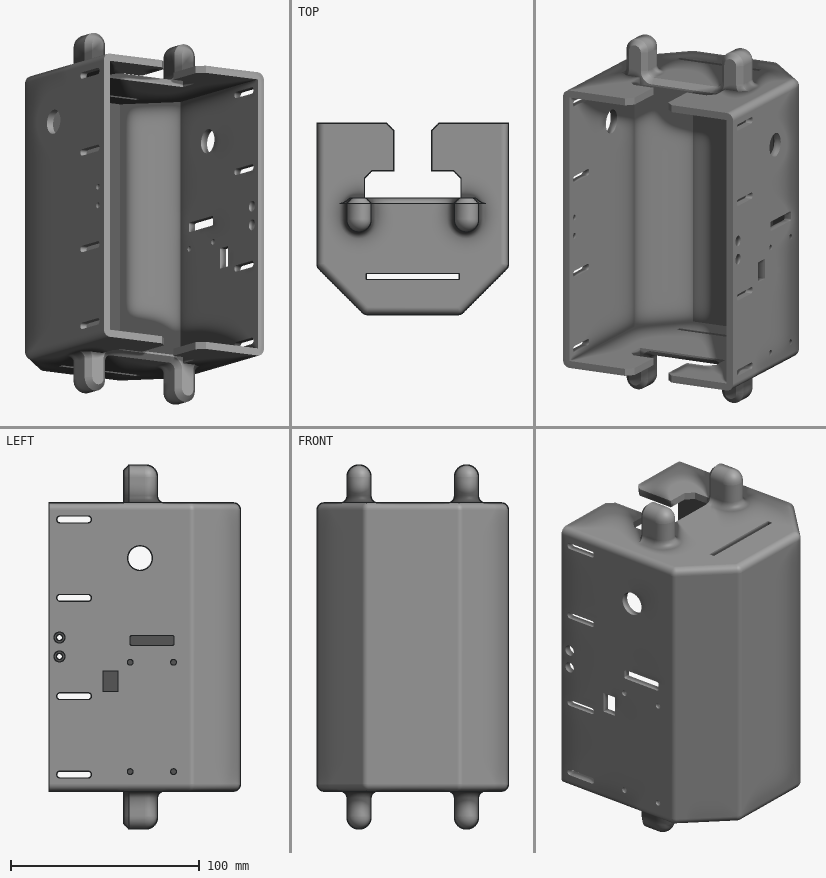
import cadquery as cq
import math

width = 101.5
depth = 101.5
total_height = 193.0
body_height = 152.9
bevel = 25.3
wall = 3.9
edge_radius = 3.9

neck_width = 20.0
neck_length = 25.3
pocket_width = 51.0
pocket_front_y = 11.2
opening_chamfer = 3.9

peg_spacing = 57.0
peg_diameter = 13.0
peg_axis_y = -0.4
peg_flare = 3.5
peg_back_chamfer = 2.9
strip_margin = 2.0

cable_slot_length = 49.0
cable_slot_width = 3.0
cable_slot_y = -30.5

strap_slot_length = 18.1
strap_slot_width = 3.5
strap_slot_corner = 1.5
strap_slot_y = 37.5
strap_slot_heights = (26.0, 67.5)

port_diameter = 13.0
port_y = 2.5
port_z = 47.1

bolt_head_diameter = 5.8
bolt_diameter = 3.0
bolt_y = 45.2
bolt_spacing = 10.0

screw_diameter = 3.0
screw_columns_y = (7.7, -15.3)
screw_rows_z = (-8.1, -66.0)
display_window_length = 23.4
display_window_height = 5.2
display_window_corner = 1.0
display_window_y = -3.9
display_window_z = 3.5
switch_window_length = 7.7
switch_window_height = 11.0
switch_window_y = 18.1
switch_window_z = -18.1

half_width = width / 2
back_y = depth / 2
front_y = -depth / 2
top_z = body_height / 2
peg_positions_x = (-peg_spacing / 2, peg_spacing / 2)
peg_radius = peg_diameter / 2
peg_top_z = total_height / 2
dome_z = peg_top_z - peg_radius
foot_radius = peg_radius + peg_flare
foot_top_z = top_z + peg_flare
flare_mid = peg_flare * (1 - math.sqrt(0.5))


def tower(inset, height, back):
    """Solid with the bevelled outline, its side and front faces moved in by inset."""
    side = half_width - inset
    front = front_y + inset
    corner = bevel - inset * (2 - math.sqrt(2))
    outline = [
        (side, back),
        (side, front + corner),
        (side - corner, front),
        (corner - side, front),
        (-side, front + corner),
        (-side, back),
    ]
    return cq.Workplane("XY").workplane(offset=-height / 2).polyline(outline).close().extrude(height)


def shell():
    """Rounded tower, hollowed out from the back."""
    outer = tower(0, body_height, back_y)
    outer = outer.edges("|Z and (not >Y)").fillet(edge_radius)
    outer = outer.faces("<Z or >Z").edges("not >Y").fillet(edge_radius)
    return outer.cut(tower(wall, body_height - 2 * wall, back_y + wall))


def end_opening():
    """Cutter for the keyhole opening; it reaches past the strip that carries the pegs."""
    neck = neck_width / 2
    pocket = pocket_width / 2
    shoulder_y = back_y - neck_length
    right_half = [
        (neck + opening_chamfer, back_y),
        (neck, back_y - opening_chamfer),
        (neck, shoulder_y),
        (pocket - opening_chamfer, shoulder_y),
        (pocket, shoulder_y - opening_chamfer),
        (pocket, pocket_front_y - peg_back_chamfer),
    ]
    left_half = [(-x, y) for x, y in reversed(right_half)]
    base = cq.Workplane("XY").workplane(offset=-top_z)
    return base.polyline(right_half + left_half).close().extrude(body_height)


def add_peg_outline(sketch, x):
    """Continue an XZ outline along the plate, over the peg at x and back to the plate."""
    return (
        sketch.lineTo(x - foot_radius, top_z)
        .threePointArc((x - peg_radius - flare_mid, top_z + flare_mid), (x - peg_radius, foot_top_z))
        .lineTo(x - peg_radius, dome_z)
        .threePointArc((x, peg_top_z), (x + peg_radius, dome_z))
        .lineTo(x + peg_radius, foot_top_z)
        .threePointArc((x + peg_radius + flare_mid, top_z + flare_mid), (x + foot_radius, top_z))
    )


def peg_front(x):
    """Round front half of a peg, with its flared foot and a base inside the plate."""
    dome_mid = peg_radius * math.sqrt(0.5)
    return (
        cq.Workplane("XZ", origin=(x, peg_axis_y, 0))
        .moveTo(0, top_z - wall)
        .lineTo(foot_radius, top_z - wall)
        .lineTo(foot_radius, top_z)
        .threePointArc((peg_radius + flare_mid, top_z + flare_mid), (peg_radius, foot_top_z))
        .lineTo(peg_radius, dome_z)
        .threePointArc((dome_mid, dome_z + dome_mid), (0, peg_top_z))
        .close()
        .revolve(180, (0, 0, 0), (0, -1, 0))
    )


def peg_strip():
    """Strip of the top plate with both pegs, chamfered along its flat back."""
    strip_end = peg_positions_x[-1] + foot_radius + strip_margin
    outline = cq.Workplane("XZ", origin=(0, pocket_front_y, 0))
    outline = outline.moveTo(-strip_end, top_z - wall).lineTo(-strip_end, top_z)
    for x in peg_positions_x:
        outline = add_peg_outline(outline, x)
    outline = outline.lineTo(strip_end, top_z).lineTo(strip_end, top_z - wall).close()

    strip = outline.extrude(pocket_front_y - peg_axis_y)
    strip = strip.faces(">Y").edges("not (<Z or <X or >X)").chamfer(peg_back_chamfer)
    for x in peg_positions_x:
        strip = strip.union(peg_front(x))
    return strip


def cable_slot():
    """Cutter for the cable slot in both end plates."""
    slot = cq.Workplane("XY").box(cable_slot_length, cable_slot_width, body_height)
    return slot.translate((0, cable_slot_y, 0))


def side_window(length_x, y, z, size_y, size_z):
    """Rectangular cutter that enters from the -X face."""
    return cq.Workplane("YZ", origin=(-half_width, y, z)).rect(size_y, size_z).extrude(length_x)


def side_hole(start_x, length_x, y, z, diameter):
    """Round cutter along X."""
    return cq.Workplane("YZ", origin=(start_x, y, z)).circle(diameter / 2).extrude(length_x)


result = shell().cut(end_opening())
top_pegs = peg_strip()
result = result.union(top_pegs).union(top_pegs.mirror("XY"))
result = result.cut(cable_slot())

for height in strap_slot_heights:
    for z in (-height, height):
        strap_slot = side_window(width, strap_slot_y, z, strap_slot_length, strap_slot_width)
        result = result.cut(strap_slot.edges("|X").fillet(strap_slot_corner))

result = result.cut(side_hole(-half_width, width, port_y, port_z, port_diameter))

for z in (-bolt_spacing / 2, bolt_spacing / 2):
    result = result.cut(side_hole(-half_width, wall, bolt_y, z, bolt_head_diameter))
    result = result.cut(side_hole(half_width - wall, wall, bolt_y, z, bolt_diameter))

for y in screw_columns_y:
    for z in screw_rows_z:
        result = result.cut(side_hole(-half_width, wall, y, z, screw_diameter))

display_window = side_window(
    wall, display_window_y, display_window_z, display_window_length, display_window_height
)
result = result.cut(display_window.edges("|X").fillet(display_window_corner))

switch_window = side_window(
    wall, switch_window_y, switch_window_z, switch_window_length, switch_window_height
)
result = result.cut(switch_window)